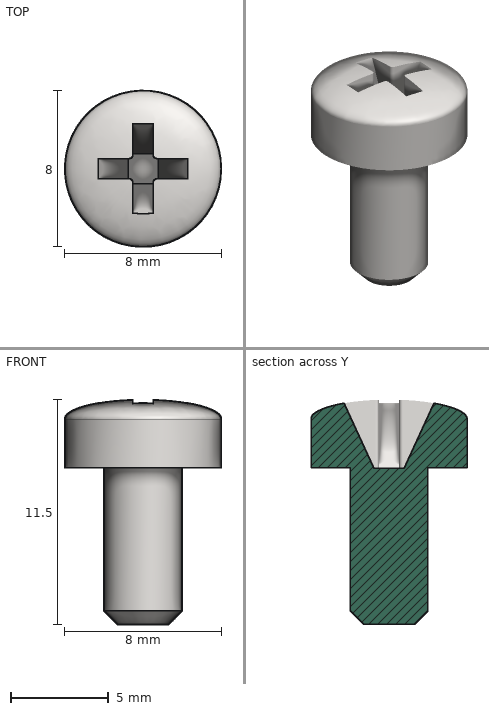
import cadquery as cq

head_diameter = 8.0
head_rim_height = 2.5
dome_height = 1.0
shank_diameter = 4.0
shank_length = 8.0
tip_diameter = 2.6
tip_length = 0.7

recess_arm_width = 1.04
recess_span = 4.58
recess_floor_span = 1.53
recess_floor_z = 0.0
recess_corner_radius = 0.18

head_radius = head_diameter / 2
shank_radius = shank_diameter / 2
tip_radius = tip_diameter / 2
head_height = head_rim_height + dome_height
dome_rise_at_arm_end = dome_height * (1 - (recess_span / head_diameter) ** 2) ** 0.5
recess_depth_at_arm_end = head_rim_height + dome_rise_at_arm_end - recess_floor_z
recess_total_depth = head_height - recess_floor_z
recess_end_lean = (recess_span - recess_floor_span) / 2 / recess_depth_at_arm_end


def make_screw_body():
    """Revolve the half profile of tip, shank, head and elliptical dome about Z."""
    profile = (
        cq.Workplane("XZ")
        .moveTo(0, -shank_length)
        .lineTo(tip_radius, -shank_length)
        .lineTo(shank_radius, tip_length - shank_length)
        .lineTo(shank_radius, 0)
        .lineTo(head_radius, 0)
        .lineTo(head_radius, head_rim_height)
        .ellipseArc(head_radius, dome_height, 0, 90, startAtCurrent=True)
        .close()
    )
    return profile.revolve(360, (0, 0, 0), (0, 1, 0))


def make_recess_arm_pair(plane):
    """Bar through the axis, with parallel sides and ends that lean in to the floor."""
    top_half_span = recess_floor_span / 2 + recess_end_lean * recess_total_depth
    return (
        cq.Workplane(plane)
        .moveTo(-recess_floor_span / 2, recess_floor_z)
        .lineTo(recess_floor_span / 2, recess_floor_z)
        .lineTo(top_half_span, head_height)
        .lineTo(-top_half_span, head_height)
        .close()
        .extrude(recess_arm_width / 2, both=True)
    )


def make_recess_core():
    """Square column at the axis, less a quarter round at each corner between the arms."""
    corner_center = recess_arm_width / 2 + recess_corner_radius
    column = (
        cq.Workplane("XY", origin=(0, 0, recess_floor_z))
        .rect(2 * corner_center, 2 * corner_center)
        .extrude(recess_total_depth)
    )
    corner_rounds = (
        cq.Workplane("XY", origin=(0, 0, recess_floor_z))
        .rect(2 * corner_center, 2 * corner_center, forConstruction=True)
        .vertices()
        .circle(recess_corner_radius)
        .extrude(recess_total_depth)
    )
    return column.cut(corner_rounds)


result = (
    make_screw_body()
    .cut(make_recess_core())
    .cut(make_recess_arm_pair("XZ"))
    .cut(make_recess_arm_pair("YZ"))
)